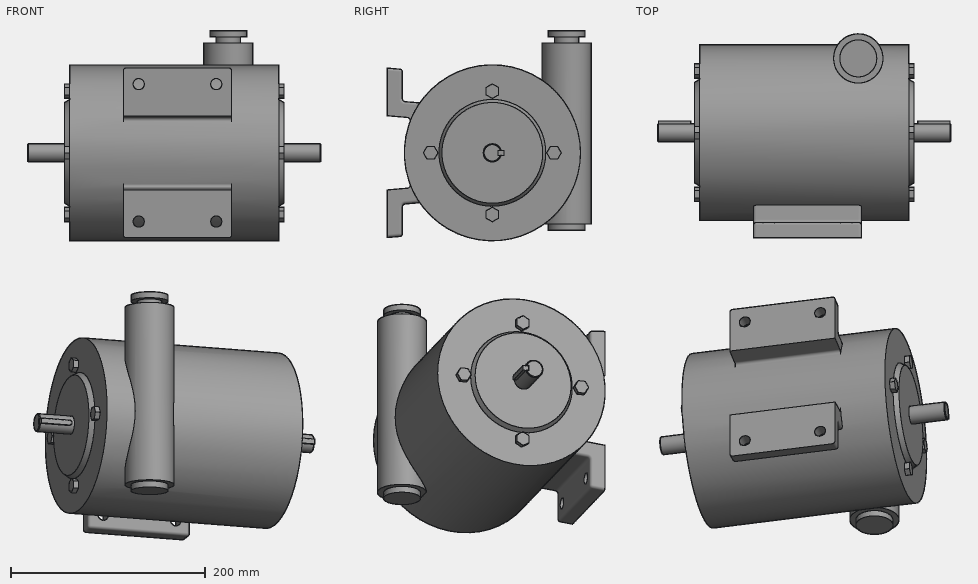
import cadquery as cq
import math

overall_length = 301.5
body_length = 214.8
body_radius = 90.5
cover_base_radius = 55.0
cover_height = 5.5
cover_draft = 30.0
body_half = body_length / 2

shaft_radius = 9.5
shaft_chamfer = 1.0
shaft_half = overall_length / 2
key_width = 5.0
key_bottom = 6.0
key_top = 12.0
key_length = 33.5

bolt_count = 4
bolt_circle_radius = 63.3
bolt_across_flats = 13.0
bolt_across_corners = bolt_across_flats / math.cos(math.radians(30))

tower_x = 55.5
tower_y = 76.3
tower_radius = 25.3
tower_bottom = -73.3
tower_top = 112.8
cap_radius = 19.0
cap_thickness = 6.3
neck_radius = 12.7
neck_height = 6.3
neck_top = tower_top + neck_height

foot_center_x = 3.3
foot_width = 111.3
foot_face_y = -108.0
foot_thickness = 15.7
foot_top = 87.2
foot_bottom = 38.0
web_thickness = 16.3
web_root_y = -66.5
foot_slope = math.tan(math.radians(5))
foot_fillet = 3.0
hole_diameter = 11.5
hole_spacing = 79.5
hole_z = 70.5


def x_cylinder(radius, half_length):
    """Cylinder on the X axis, centred on the origin."""
    return cq.Workplane("YZ").circle(radius).extrude(half_length, both=True)


def z_cylinder(radius, bottom, top):
    """Upright cylinder on the tower axis."""
    return (
        cq.Workplane("XY", origin=(tower_x, tower_y, bottom))
        .circle(radius)
        .extrude(top - bottom)
    )


def end_cover():
    """Conical cover on the +X end of the housing."""
    return (
        cq.Workplane("YZ", origin=(body_half, 0, 0))
        .circle(cover_base_radius)
        .extrude(cover_height, taper=cover_draft)
    )


def bolt_heads():
    """Hexagon heads on the +X end, each with a corner pointing outward."""
    return (
        cq.Workplane("YZ", origin=(body_half, 0, 0))
        .polarArray(bolt_circle_radius, 0, 360, bolt_count)
        .polygon(6, bolt_across_corners)
        .extrude(cover_height)
    )


def key_seat():
    """Keyway on the +Y side of the +X shaft end, open at the end and round at its inner end."""
    round_center = shaft_half - shaft_chamfer - key_length + key_width / 2
    outline = (
        cq.Workplane("XZ", origin=(0, key_top, 0))
        .moveTo(shaft_half, key_width / 2)
        .lineTo(round_center, key_width / 2)
        .threePointArc((round_center - key_width / 2, 0), (round_center, -key_width / 2))
        .lineTo(shaft_half, -key_width / 2)
        .close()
    )
    return outline.extrude(key_top - key_bottom)


def shaft():
    """Chamfered shaft with its two keys, each set back from the shaft end by the chamfer."""
    bar = x_cylinder(shaft_radius, shaft_half).faces("<X or >X").chamfer(shaft_chamfer)
    seat = key_seat()
    key = seat.intersect(x_cylinder(overall_length, shaft_half - shaft_chamfer))
    bar = bar.cut(seat).cut(seat.mirror("YZ"))
    return bar.union(key).union(key.mirror("YZ"))


def tower():
    """Upright cylinder with a necked cap on top and a plain cap below."""
    barrel = z_cylinder(tower_radius, tower_bottom, tower_top)
    neck = z_cylinder(neck_radius, tower_top, neck_top)
    upper_cap = z_cylinder(cap_radius, neck_top, neck_top + cap_thickness)
    lower_cap = z_cylinder(cap_radius, tower_bottom - cap_thickness, tower_bottom)
    return barrel.union(neck).union(upper_cap).union(lower_cap)


def upper_foot():
    """L-shaped foot whose plate rises from the end of a web rooted in the housing."""
    back_y = foot_face_y + foot_thickness

    def sloped(face_z, y):
        """Height at y of a face that stands at face_z on the front of the foot."""
        return face_z - foot_slope * (y - foot_face_y)

    web_top = foot_bottom + web_thickness
    foot = (
        cq.Workplane("YZ", origin=(foot_center_x, 0, 0))
        .moveTo(foot_face_y, foot_bottom)
        .lineTo(foot_face_y, foot_top)
        .lineTo(back_y, sloped(foot_top, back_y))
        .lineTo(back_y, sloped(web_top, back_y))
        .lineTo(web_root_y, sloped(web_top, web_root_y))
        .lineTo(web_root_y, sloped(foot_bottom, web_root_y))
        .close()
        .extrude(foot_width / 2, both=True)
    )
    inner_corner = cq.selectors.NearestToPointSelector(
        (foot_center_x, back_y, sloped(web_top, back_y))
    )
    foot = foot.edges(inner_corner).fillet(foot_fillet)

    def on_rim(edge):
        center = edge.Center()
        on_front = center.y < foot_face_y + foot_fillet
        on_underside = center.z < sloped(foot_bottom, center.y) + foot_fillet
        at_root = center.y > web_root_y - foot_fillet
        return not (on_front or on_underside or at_root)

    side_edges = foot.faces("<X or >X").edges().filter(on_rim)
    top_back_edge = foot.faces(">Z").edges(">Y")
    foot = side_edges.add(top_back_edge).fillet(foot_fillet)

    holes = (
        cq.Workplane("XZ", origin=(foot_center_x, 0, hole_z))
        .pushPoints([(-hole_spacing / 2, 0), (hole_spacing / 2, 0)])
        .circle(hole_diameter / 2)
        .extrude(-foot_face_y)
    )
    return foot.cut(holes)


def mounted_foot(housing):
    """Upper foot joined to a housing, with the corner under its web rounded."""
    joined = housing.union(upper_foot())
    corner_y = -math.sqrt(body_radius**2 - foot_bottom**2)
    web_corner = cq.selectors.NearestToPointSelector((foot_center_x, corner_y, foot_bottom))
    return joined.edges(web_corner).fillet(foot_fillet)


housing = x_cylinder(body_radius, body_half)
upper_half = mounted_foot(housing)
end_parts = end_cover().union(bolt_heads())

result = (
    upper_half.union(upper_half.mirror("XY"))
    .union(tower())
    .union(shaft())
    .union(end_parts)
    .union(end_parts.mirror("YZ"))
)